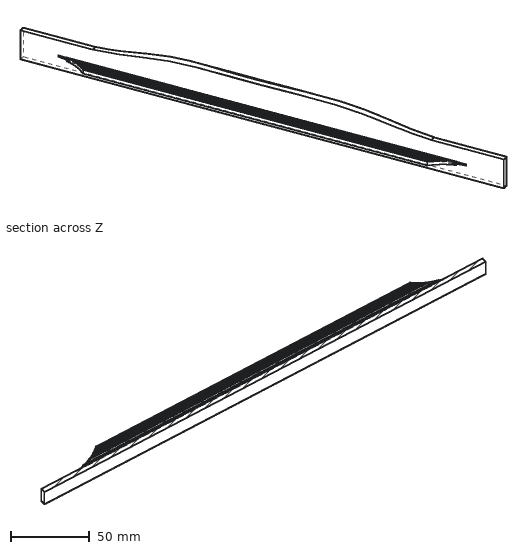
import cadquery as cq
import math

length = 345.0
strip_height = 21.7
thickness = 3.8

back_curve = [
    (0, strip_height),
    (0, strip_height + 11.0),
    (-9.0, strip_height + 15.0),
    (-16.2, strip_height + 18.5),
]
front_curve = [
    (-thickness, strip_height),
    (-thickness, strip_height + 9.0),
    (-11.0, strip_height + 12.8),
    (-17.5, strip_height + 16.5),
]
lip_peak = 0.96
lip_half_width = 126.0
block_half_width = 120.8
lip_root_height = 17.2

trim_overhang = 0.3
root_steepness = 0.8
trim_points = 40

ledge_reach = 13.5
ledge_bottom = 8.5
ledge_top = 11.5
ledge_root_half = 145.5
ledge_mid_half = 131.5
ledge_mid_reach = 7.5
ledge_tip_half = 122.8
neck_thickness = 1.0
neck_end = 5.0
groove_count = 3
groove_pitch = 2.0
groove_width = 0.7
groove_depth = 0.5


def bezier_point(curve, t):
    weights = ((1 - t) ** 3, 3 * t * (1 - t) ** 2, 3 * t**2 * (1 - t), t**3)
    y = sum(weight * point[0] for weight, point in zip(weights, curve))
    z = sum(weight * point[1] for weight, point in zip(weights, curve))
    return y, z


def sheet_point(t, depth):
    """(Y, Z) inside the curled sheet; depth runs from 0 at its back to 1 at its front."""
    back = bezier_point(back_curve, t)
    front = bezier_point(front_curve, t)
    return tuple(b + depth * (f - b) for b, f in zip(back, front))


def make_strip():
    strip = cq.Workplane("XY").box(length, thickness, strip_height)
    return strip.translate((0, -thickness / 2, strip_height / 2))


def make_curled_block():
    profile = (
        cq.Workplane("YZ", origin=(-block_half_width, 0, 0))
        .moveTo(0, lip_root_height)
        .lineTo(*back_curve[0])
        .bezier(back_curve)
        .lineTo(*front_curve[-1])
        .bezier(front_curve[::-1])
        .lineTo(-thickness, lip_root_height)
        .close()
    )
    return profile.extrude(2 * block_half_width)


def trim_edge(depth):
    """Raised-cosine lip outline, wrapped onto the sheet at the given depth."""
    points = []
    for i in range(trim_points + 1):
        x = lip_half_width * (2 * i / trim_points - 1)
        rise = (1 + math.cos(math.pi * x / lip_half_width)) / 2
        t = lip_peak * rise * (root_steepness + (1 - root_steepness) * rise)
        points.append(cq.Vector(x, *sheet_point(t, depth)))
    return cq.Edge.makeSpline(points)


def make_lip():
    trim = cq.Face.makeRuledSurface(trim_edge(-trim_overhang), trim_edge(1 + trim_overhang))
    pieces = make_curled_block().val().split(trim).Solids()
    return min(pieces, key=lambda piece: piece.BoundingBox().zmin)


def make_ledge():
    ledge = (
        cq.Workplane("XY", origin=(0, 0, ledge_bottom))
        .moveTo(-ledge_root_half, -thickness)
        .threePointArc((-ledge_mid_half, -ledge_mid_reach), (-ledge_tip_half, -ledge_reach))
        .lineTo(ledge_tip_half, -ledge_reach)
        .threePointArc((ledge_mid_half, -ledge_mid_reach), (ledge_root_half, -thickness))
        .close()
        .extrude(ledge_top - ledge_bottom)
    )
    neck_depth = neck_end - thickness
    relief_height = (ledge_top - ledge_bottom - neck_thickness) / 2
    for z in (ledge_bottom + relief_height / 2, ledge_top - relief_height / 2):
        relief = cq.Workplane("XY").box(length, neck_depth, relief_height)
        ledge = ledge.cut(relief.translate((0, -thickness - neck_depth / 2, z)))
    for i in range(1, groove_count + 1):
        y = -ledge_reach + i * groove_pitch
        groove = cq.Workplane("XY").box(length, groove_width, 2 * groove_depth)
        ledge = ledge.cut(groove.translate((0, y, ledge_top)))
    return ledge


result = make_strip().union(cq.Workplane(make_lip())).union(make_ledge())